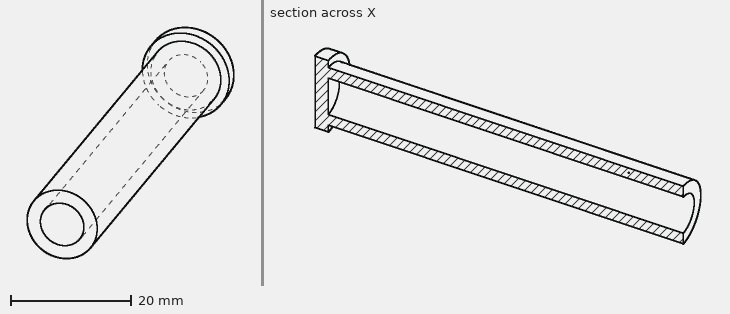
import cadquery as cq

total_length = 69.85
head_diameter = 15.2
head_thickness = 2.6
shank_diameter = 12.3
bore_diameter = 7.6

shank_length = total_length - head_thickness
bore_depth = shank_length


def cylinder_along_y(diameter, start_y, length):
    """Solid cylinder on the Y axis, from start_y toward +Y."""
    axis = cq.Vector(0, 1, 0)
    return cq.Workplane(cq.Solid.makeCylinder(diameter / 2, length, cq.Vector(0, start_y, 0), axis))


shank = cylinder_along_y(shank_diameter, 0, shank_length)
head = cylinder_along_y(head_diameter, shank_length, head_thickness)
bore = cylinder_along_y(bore_diameter, 0, bore_depth)

result = shank.union(head).cut(bore)